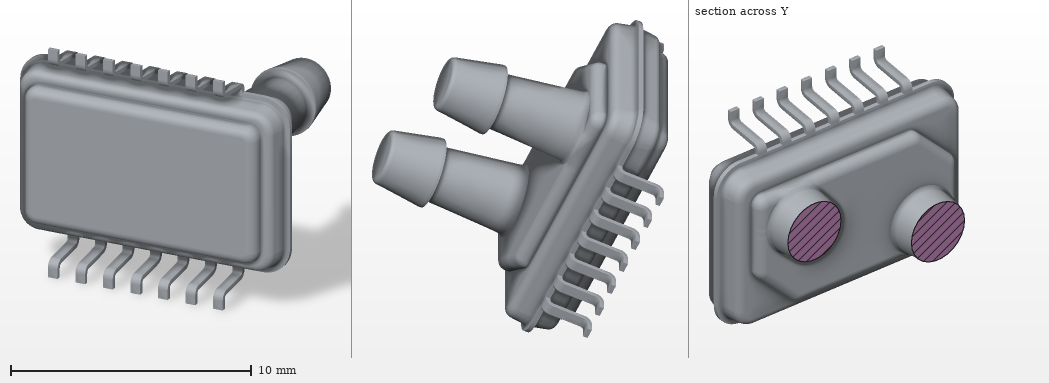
import cadquery as cq
import math

flange_length = 12.5
flange_height = 7.92
flange_thickness = 0.2
flange_corner = 1.25

housing_inset = 0.25
housing_depth = 1.11
housing_draft = 9.0
housing_front_round = 0.32
housing_back_round = 0.38
housing_root_round = 0.09

cover_length = 10.78
cover_height = 6.2
cover_corner = 0.58
cover_front = -1.74
cover_draft = 4.0
cover_round = 0.41
cover_root_round = 0.04

plate_length = 10.45
plate_height = 5.82
plate_back = 1.71
plate_corner_cut = 1.99
plate_corner = 0.5
plate_round = 0.41

port_x = 3.25
port_z = 1.3
port_tip = 7.7
port_tip_radius = 1.15
port_tip_round = 0.2
port_root_radius = 1.5
port_flare_radius = 1.6
port_flare_length = 0.2
port_flare_round = 0.25
barb_radius = 1.51
barb_back = 5.4
barb_rim = 0.11
neck_radius = 1.2
neck_round = 0.22

lead_count = 7
lead_pitch = 1.28
lead_width = 0.45
lead_thickness = flange_thickness
lead_bend_radius = 0.18
lead_reach = 5.16
lead_front = -1.98
lead_knee_z = 4.31
lead_slope = 5.5

half_flange = flange_thickness / 2
housing_length = flange_length - 2 * housing_inset
housing_height = flange_height - 2 * housing_inset
housing_corner = flange_corner - housing_inset


def rounded_block(length, height, corner, start_y, end_y, draft=0):
    """Block with rounded corners, running along Y and narrowing towards end_y."""
    direction = math.copysign(1, end_y - start_y)
    base = cq.Plane(origin=(0, start_y, 0), xDir=(1, 0, 0), normal=(0, direction, 0))
    outline = cq.Sketch().rect(length, height).vertices().fillet(corner)
    return cq.Workplane(base).placeSketch(outline).extrude(abs(end_y - start_y), taper=draft)


def make_housing():
    flange = rounded_block(flange_length, flange_height, flange_corner, -half_flange, half_flange)
    front = rounded_block(
        housing_length, housing_height, housing_corner, -half_flange, -housing_depth, housing_draft
    )
    back = rounded_block(
        housing_length, housing_height, housing_corner, half_flange, housing_depth, housing_draft
    )
    front = front.faces("<Y").edges().fillet(housing_front_round)
    back = back.faces(">Y").edges().fillet(housing_back_round)
    body = flange.union(front).union(back)

    reach_x = flange_length / 2 - housing_inset / 2
    reach_z = flange_height / 2 - housing_inset / 2
    root_edges = cq.selectors.BoxSelector(
        (-reach_x, -flange_thickness, -reach_z),
        (reach_x, flange_thickness, reach_z),
        boundingbox=True,
    )
    return body.edges(root_edges).fillet(housing_root_round)


def add_cover(housing):
    """Join the front cover to the housing and blend its root into the housing face."""
    cover = rounded_block(
        cover_length, cover_height, cover_corner, -housing_depth, cover_front, cover_draft
    )
    cover = cover.faces("<Y").edges().fillet(cover_round)
    body = housing.union(cover)
    reach_x = cover_length / 2 + cover_root_round
    reach_z = cover_height / 2 + cover_root_round
    root_edges = cq.selectors.BoxSelector(
        (-reach_x, -housing_depth - cover_root_round, -reach_z),
        (reach_x, -housing_depth + cover_root_round, reach_z),
        boundingbox=True,
    )
    return body.edges(root_edges).fillet(cover_root_round)


def make_plate():
    x = plate_length / 2
    z = plate_height / 2
    outline = [
        (-x, -z),
        (x - plate_corner_cut, -z),
        (x, plate_corner_cut - z),
        (x, z),
        (plate_corner_cut - x, z),
        (-x, z - plate_corner_cut),
    ]
    plate = cq.Workplane("XZ").polyline(outline).close().extrude(-plate_back)
    return plate.edges("|Y").fillet(plate_corner)


def make_port(x, z):
    """Solid of revolution along Y: flared root, tapered stem, neck and barb."""
    profile = (
        cq.Workplane("XY")
        .lineTo(port_flare_radius, 0)
        .lineTo(port_flare_radius, plate_back)
        .radiusArc((port_root_radius, plate_back + port_flare_length), port_flare_round)
        .lineTo(neck_radius, barb_back - neck_round)
        .radiusArc((neck_radius + neck_round, barb_back), neck_round)
        .lineTo(barb_radius, barb_back)
        .lineTo(barb_radius, barb_back + barb_rim)
        .lineTo(port_tip_radius, port_tip)
        .lineTo(0, port_tip)
        .close()
    )
    port = profile.revolve(360, (0, 0, 0), (0, 1, 0))
    return port.faces(">Y").edges().fillet(port_tip_round).translate((x, 0, z))


def make_lead(x):
    """Upper gull-wing lead: up from the flange, forward along a slope, then up into a foot."""
    t = lead_thickness / 2
    slope = math.radians(lead_slope)
    foot_y = lead_front + t
    foot_knee_z = lead_knee_z - foot_y * math.tan(slope)
    miter = t * math.tan((math.pi / 2 - slope) / 2)
    outer_knee = (t, lead_knee_z + miter)
    inner_knee = (-t, lead_knee_z - miter)
    inner_ankle = (foot_y + t, foot_knee_z + miter)
    outer_ankle = (foot_y - t, foot_knee_z - miter)
    root_z = flange_height / 2 - housing_inset
    outline = [
        (t, root_z),
        outer_knee,
        inner_ankle,
        (foot_y + t, lead_reach),
        (foot_y - t, lead_reach),
        outer_ankle,
        inner_knee,
        (-t, root_z),
    ]
    lead = cq.Workplane("YZ").polyline(outline).close().extrude(lead_width / 2, both=True)
    outer_bend_radius = lead_bend_radius + lead_thickness
    bends = [
        (outer_knee, outer_bend_radius),
        (inner_knee, lead_bend_radius),
        (inner_ankle, lead_bend_radius),
        (outer_ankle, outer_bend_radius),
    ]
    for (y, z), radius in bends:
        bend_edge = cq.selectors.NearestToPointSelector((0, y, z))
        lead = lead.edges("|X").edges(bend_edge).fillet(radius)
    return lead.translate((x, 0, 0))


def make_back():
    """Back plate carrying the two ports, with the plate edge rounded around them."""
    back = make_plate()
    for x, z in [(port_x, port_z), (-port_x, -port_z)]:
        back = back.union(make_port(x, z))

    selection_margin = 0.01
    face_edges = cq.selectors.BoxSelector(
        (-plate_length, plate_back - selection_margin, -plate_height),
        (plate_length, plate_back + selection_margin, plate_height),
        boundingbox=True,
    )
    outer_edges = back.edges(face_edges).edges("%LINE")
    return outer_edges.fillet(plate_round)


result = add_cover(make_housing()).union(make_back())
for index in range(lead_count):
    lead_x = (index - (lead_count - 1) / 2) * lead_pitch
    upper_lead = make_lead(lead_x)
    result = result.union(upper_lead).union(upper_lead.mirror("XY"))